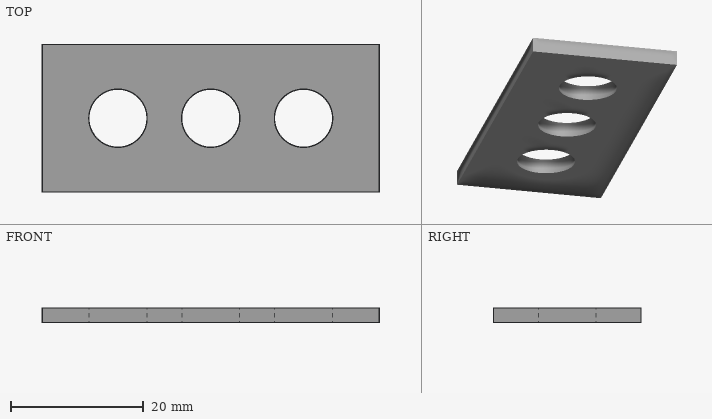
import cadquery as cq

plate_length = 50.8
plate_width = 22.23
plate_thickness = 2.25

hole_count = 3
hole_diameter = 8.73
hole_pitch = 13.97


def make_plate():
    """Flat rectangular plate centred on the origin."""
    return cq.Workplane("XY").box(plate_length, plate_width, plate_thickness)


def cut_hole_row(plate):
    """Cut the evenly spaced holes, centred on the plate, right through it."""
    return (
        plate.faces(">Z")
        .workplane(origin=(0, 0, 0))
        .rarray(hole_pitch, plate_width, hole_count, 1)
        .hole(hole_diameter)
    )


result = cut_hole_row(make_plate())